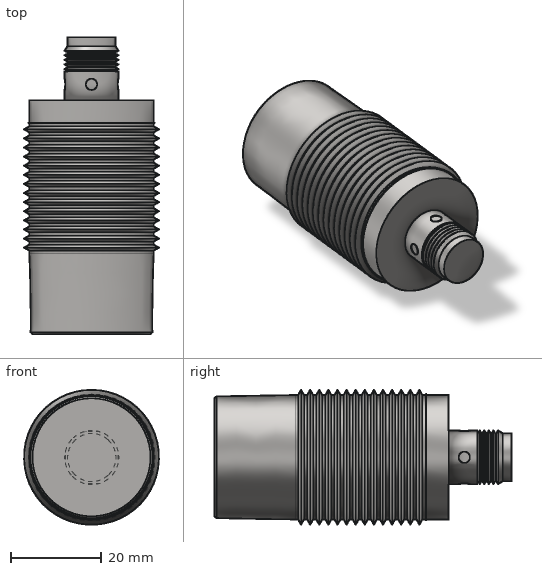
import cadquery as cq
import math


face_radius = 13.1
cap_front_radius = 13.55
cap_chamfer_length = 0.5
cap_length = 18.0

barrel_radius = 13.85
barrel_crest_radius = 15.0
barrel_pitch = 2.021
barrel_ridge_count = 14
first_barrel_ridge = 19.25
thread_end = 47.0
barrel_end = 52.0

sleeve_radius = 6.0
sleeve_end = 58.4
tip_radius = 5.35
total_length = 66.0
connector_pitch = 1.02
connector_ridge_count = 4
first_connector_ridge = 58.9

lead_in_crest = first_connector_ridge + connector_ridge_count * connector_pitch
lead_in_length = 1.0

flank_angle = math.radians(30)

window_diameter = 2.5
window_floor_radius = 5.8
window_y = 55.5
window_count = 4


def ridge_half_width(root_radius, crest_radius):
    """Half the base width of a V ridge."""
    return (crest_radius - root_radius) * math.tan(flank_angle)


def ridge_points(first_y, pitch, count, root_radius, crest_radius):
    """Outline of equally spaced V ridges as (Y, radius) points."""
    half_width = ridge_half_width(root_radius, crest_radius)
    points = []
    for index in range(count):
        crest_y = first_y + index * pitch
        points.append((crest_y - half_width, root_radius))
        points.append((crest_y, crest_radius))
        points.append((crest_y + half_width, root_radius))
    return points


def barrel_points():
    """Outline of the sensing cap, threaded barrel and collar."""
    cap = [
        (0, 0),
        (0, face_radius),
        (cap_chamfer_length, cap_front_radius),
        (cap_length, barrel_radius),
    ]
    ridges = ridge_points(
        first_barrel_ridge, barrel_pitch, barrel_ridge_count, barrel_radius, barrel_crest_radius
    )
    cut_ridge_crest = first_barrel_ridge + barrel_ridge_count * barrel_pitch
    cut_ridge_start = cut_ridge_crest - ridge_half_width(barrel_radius, barrel_crest_radius)
    cut_ridge_height = (thread_end - cut_ridge_start) / math.tan(flank_angle)
    collar = [
        (cut_ridge_start, barrel_radius),
        (thread_end, barrel_radius + cut_ridge_height),
        (thread_end, barrel_radius),
        (barrel_end, barrel_radius),
    ]
    return cap + ridges + collar


def connector_points():
    """Outline of the sleeve, connector thread, lead-in and tip."""
    sleeve = [
        (barrel_end, sleeve_radius),
        (sleeve_end, sleeve_radius),
        (sleeve_end, tip_radius),
    ]
    ridges = ridge_points(
        first_connector_ridge, connector_pitch, connector_ridge_count, tip_radius, sleeve_radius
    )
    tip = [
        (lead_in_crest - ridge_half_width(tip_radius, sleeve_radius), tip_radius),
        (lead_in_crest, sleeve_radius),
        (lead_in_crest + lead_in_length, tip_radius),
        (total_length, tip_radius),
        (total_length, 0),
    ]
    return sleeve + ridges + tip


def make_body():
    """Revolve the complete half outline about the Y axis."""
    outline = cq.Workplane("YZ").polyline(barrel_points() + connector_points()).close()
    return outline.revolve(360, (0, 0, 0), (1, 0, 0))


def cut_windows(body):
    """Cut the indicator windows, equally spaced around the sleeve."""
    cutter = (
        cq.Workplane("XY", origin=(0, window_y, window_floor_radius))
        .circle(window_diameter / 2)
        .extrude(sleeve_radius - window_floor_radius)
    )
    for index in range(window_count):
        angle = index * 360 / window_count
        body = body.cut(cutter.rotate((0, 0, 0), (0, 1, 0), angle))
    return body


result = cut_windows(make_body())